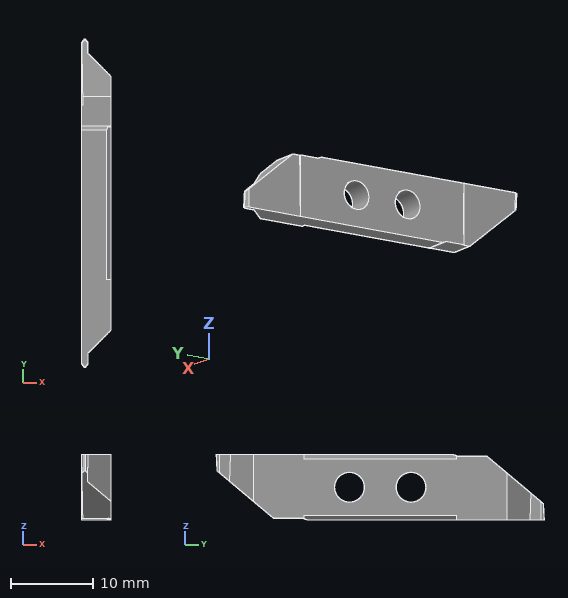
import cadquery as cq
import math

LENGTH = 40.0
THICKNESS = 3.6
HEIGHT = 8.0

HALF_LENGTH = LENGTH / 2
HALF_HEIGHT = HEIGHT / 2

HOLE_DIAMETER = 3.6
HOLE_SPACING = 7.5

FRONT_CLEARANCE_ANGLE = 3.0
TIP_HEIGHT = 2.0
SLOPE_LENGTH = 7.0
LEDGE_DROP = 0.2
LEDGE_LENGTH = 10.6
LEDGE_RAMP_LENGTH = 0.5

BLADE_WIDTH = 0.82
BLADE_LENGTH = 1.75
FLANK_CLEARANCE_ANGLE = 2.0
TIP_BEVEL_WIDTH = 0.32
TIP_BEVEL_LENGTH = 0.42
SIDE_RELIEF_ANGLE = 1.2
SIDE_RELIEF_LENGTH = 8.0

EDGE_CHAMFER = 0.55
CHAMFER_HALF_LENGTH = 9.3

MARGIN = 1.0


def offset_at(angle, distance):
    """Sideways drift of a face tilted by angle degrees over a distance."""
    return distance * math.tan(math.radians(angle))


def turned(shape):
    """The same shape at the opposite end of the insert."""
    return shape.rotate((0, 0, 0), (1, 0, 0), 180)


def blank():
    """Side profile in the YZ plane, extruded through the thickness."""
    tip_setback = offset_at(FRONT_CLEARANCE_ANGLE, TIP_HEIGHT)
    ledge_z = -HALF_HEIGHT + LEDGE_DROP
    near_end = [
        (-HALF_LENGTH, HALF_HEIGHT),
        (-HALF_LENGTH + tip_setback, HALF_HEIGHT - TIP_HEIGHT),
        (-HALF_LENGTH + SLOPE_LENGTH, ledge_z),
        (-HALF_LENGTH + LEDGE_LENGTH, ledge_z),
        (-HALF_LENGTH + LEDGE_LENGTH + LEDGE_RAMP_LENGTH, -HALF_HEIGHT),
    ]
    far_end = [(-y, -z) for y, z in near_end]
    return cq.Workplane("YZ").polyline(near_end + far_end).close().extrude(THICKNESS)


def shoulder_cutter():
    """Space beside the blade, bounded by a 45 degree shoulder and the tilted blade flank."""
    reach = THICKNESS + MARGIN
    outer_y = -HALF_LENGTH - MARGIN
    shoulder_y = -HALF_LENGTH + BLADE_LENGTH - BLADE_WIDTH
    plan = (
        cq.Workplane("XY", origin=(0, 0, -HALF_HEIGHT))
        .polyline([(0, outer_y), (reach, outer_y), (reach, shoulder_y + reach), (0, shoulder_y)])
        .close()
        .extrude(HEIGHT)
    )
    lower_flank_x = BLADE_WIDTH - offset_at(FLANK_CLEARANCE_ANGLE, HEIGHT)
    flank_side = (
        cq.Workplane("XZ")
        .polyline([
            (BLADE_WIDTH, HALF_HEIGHT),
            (reach, HALF_HEIGHT),
            (reach, -HALF_HEIGHT),
            (lower_flank_x, -HALF_HEIGHT),
        ])
        .close()
        .extrude(HALF_LENGTH + MARGIN)
    )
    return plan.intersect(flank_side)


def side_relief_cutter():
    """Thin wedge off the mounting face, growing away from the cutting edge."""
    return (
        cq.Workplane("XZ", origin=(0, -HALF_LENGTH + SIDE_RELIEF_LENGTH, 0))
        .polyline([
            (0, HALF_HEIGHT),
            (offset_at(SIDE_RELIEF_ANGLE, HEIGHT), -HALF_HEIGHT),
            (0, -HALF_HEIGHT),
        ])
        .close()
        .extrude(SIDE_RELIEF_LENGTH + MARGIN)
    )


def tip_bevel_cutter(edge_x, inward):
    """Corner bevel of the blade tip, leaning back with the front clearance face."""
    slope = TIP_BEVEL_LENGTH / TIP_BEVEL_WIDTH
    bevel = (
        cq.Workplane("XY", origin=(edge_x, -HALF_LENGTH, HALF_HEIGHT))
        .polyline([
            (inward * (TIP_BEVEL_WIDTH + MARGIN), -MARGIN * slope),
            (-inward * MARGIN, TIP_BEVEL_LENGTH + MARGIN * slope),
            (-inward * MARGIN, -MARGIN * slope),
        ])
        .close()
        .extrude(HEIGHT, both=True)
    )
    tip = cq.Vector(0, -HALF_LENGTH, HALF_HEIGHT)
    return bevel.rotate(tip, tip + cq.Vector(1, 0, 0), FRONT_CLEARANCE_ANGLE)


def edge_chamfer_cutter():
    """45 degree chamfer along the middle of the upper far edge."""
    return (
        cq.Workplane("XZ")
        .polyline([
            (THICKNESS - EDGE_CHAMFER, HALF_HEIGHT),
            (THICKNESS, HALF_HEIGHT),
            (THICKNESS, HALF_HEIGHT - EDGE_CHAMFER),
        ])
        .close()
        .extrude(CHAMFER_HALF_LENGTH, both=True)
    )


def screw_holes():
    """Two through holes spaced along the length."""
    return (
        cq.Workplane("YZ")
        .pushPoints([(-HOLE_SPACING / 2, 0), (HOLE_SPACING / 2, 0)])
        .circle(HOLE_DIAMETER / 2)
        .extrude(THICKNESS)
    )


result = blank().cut(screw_holes())
end_cutters = [
    shoulder_cutter(),
    side_relief_cutter(),
    tip_bevel_cutter(0, 1),
    tip_bevel_cutter(BLADE_WIDTH, -1),
    edge_chamfer_cutter(),
]
for cutter in end_cutters:
    result = result.cut(cutter).cut(turned(cutter))